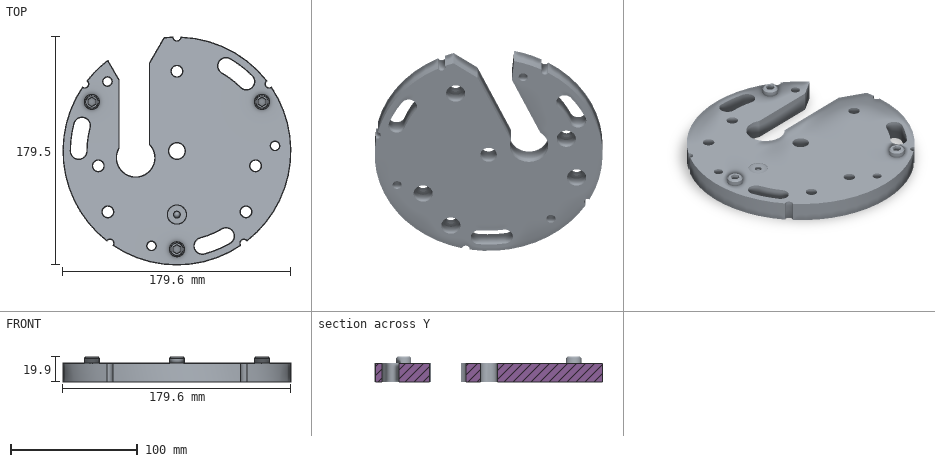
import cadquery as cq
import math

plate_radius = 89.8
plate_thickness = 15.0

channel_left = -45.6
channel_right = -21.7
channel_left_top = 56.0
channel_right_top = 69.2
mouth_angle = 60.0
mouth_overrun = 3.6
pocket_x = -32.5
pocket_y = -5.4
pocket_radius = 15.0

bolt_circle_radius = 77.5
screw_angles = (30, 150, 270)
pin_hole_angles = (3, 135, 255)
pin_hole_radius = 3.6
arc_slot_start_angles = (45, 165, 285)
arc_slot_sweep = 15.0
arc_slot_half_width = 6.5

center_hole_radius = 6.5
mount_hole_radius = 4.5
mount_counterbore_radius = 7.5
mount_counterbore_depth = 10.0
mount_hole_points = [
    (0, 62.9),
    (-62.0, -11.7),
    (62.0, -11.7),
    (-54.5, -48.0),
    (54.5, -48.0),
]

notch_radius = 3.0
notch_angles = (36, 90, 144, 234, 306)

head_height = 4.9
head_radius = 6.0
head_chamfer = 1.0
socket_sides = 6
socket_across_flats = 6.3
socket_depth = 4.0

recess_y = -50.1
recess_radius = 7.5
recess_depth = 0.4
ball_radius = 2.7
ball_top_depth = 1.0
ball_bore_depth = ball_top_depth + ball_radius


def polar_point(radius, angle):
    """Point at a radius and an angle in degrees from +X."""
    return (radius * math.cos(math.radians(angle)), radius * math.sin(math.radians(angle)))


def bores(points, radius, depth=plate_thickness):
    """Cylinders rising from the underside, through the whole plate by default."""
    return cq.Workplane("XY").pushPoints(points).circle(radius).extrude(depth)


def open_slot():
    """Channel with a flared mouth running out past the rim, ending in a round pocket."""
    mouth_end = plate_radius + mouth_overrun
    run_per_rise = 1 / math.tan(math.radians(mouth_angle))
    left_end = channel_left - (mouth_end - channel_left_top) * run_per_rise
    right_end = channel_right + (mouth_end - channel_right_top) * run_per_rise
    channel = (
        cq.Workplane("XY")
        .polyline([
            (channel_left, pocket_y),
            (channel_right, pocket_y),
            (channel_right, channel_right_top),
            (right_end, mouth_end),
            (left_end, mouth_end),
            (channel_left, channel_left_top),
        ])
        .close()
        .extrude(plate_thickness)
    )
    return channel.union(bores([(pocket_x, pocket_y)], pocket_radius))


def arc_slot(start_angle):
    """Slot with round ends that follows the bolt circle."""
    end_angle = start_angle + arc_slot_sweep
    mid_angle = start_angle + arc_slot_sweep / 2
    inner = bolt_circle_radius - arc_slot_half_width
    outer = bolt_circle_radius + arc_slot_half_width
    band = (
        cq.Workplane("XY")
        .moveTo(*polar_point(inner, start_angle))
        .threePointArc(polar_point(inner, mid_angle), polar_point(inner, end_angle))
        .lineTo(*polar_point(outer, end_angle))
        .threePointArc(polar_point(outer, mid_angle), polar_point(outer, start_angle))
        .close()
        .extrude(plate_thickness)
    )
    ends = [polar_point(bolt_circle_radius, angle) for angle in (start_angle, end_angle)]
    return band.union(bores(ends, arc_slot_half_width))


def screw_head():
    """Round head with a chamfered top edge and a hexagon socket, standing on Z = 0."""
    half_corner_angle = 180 / socket_sides
    socket_across_corners = socket_across_flats / math.cos(math.radians(half_corner_angle))
    head = cq.Workplane("XY").circle(head_radius).extrude(head_height)
    head = head.faces(">Z").edges().chamfer(head_chamfer)
    socket = (
        cq.Workplane("XY")
        .workplane(offset=head_height - socket_depth)
        .polygon(socket_sides, socket_across_corners)
        .extrude(socket_depth)
        .rotate((0, 0, 0), (0, 0, 1), half_corner_angle)
    )
    return head.cut(socket)


plate = cq.Workplane("XY").circle(plate_radius).extrude(plate_thickness)
plate = plate.cut(open_slot())

pin_points = [polar_point(bolt_circle_radius, angle) for angle in pin_hole_angles]
notch_points = [polar_point(plate_radius, angle) for angle in notch_angles]
plate = plate.cut(bores([(0, 0)], center_hole_radius))
plate = plate.cut(bores(mount_hole_points, mount_hole_radius))
plate = plate.cut(bores(mount_hole_points, mount_counterbore_radius, mount_counterbore_depth))
plate = plate.cut(bores(pin_points, pin_hole_radius))
plate = plate.cut(bores(notch_points, notch_radius))
for slot_start in arc_slot_start_angles:
    plate = plate.cut(arc_slot(slot_start))

recess = cq.Workplane("XY", origin=(0, recess_y, plate_thickness))
plate = plate.cut(recess.circle(recess_radius).extrude(-recess_depth))
plate = plate.cut(recess.circle(ball_radius).extrude(-ball_bore_depth))
ball_z = plate_thickness - ball_bore_depth
plate = plate.union(cq.Workplane("XY").sphere(ball_radius).translate((0, recess_y, ball_z)))

for screw_angle in screw_angles:
    screw_x, screw_y = polar_point(bolt_circle_radius, screw_angle)
    plate = plate.union(screw_head().translate((screw_x, screw_y, plate_thickness)))

result = plate